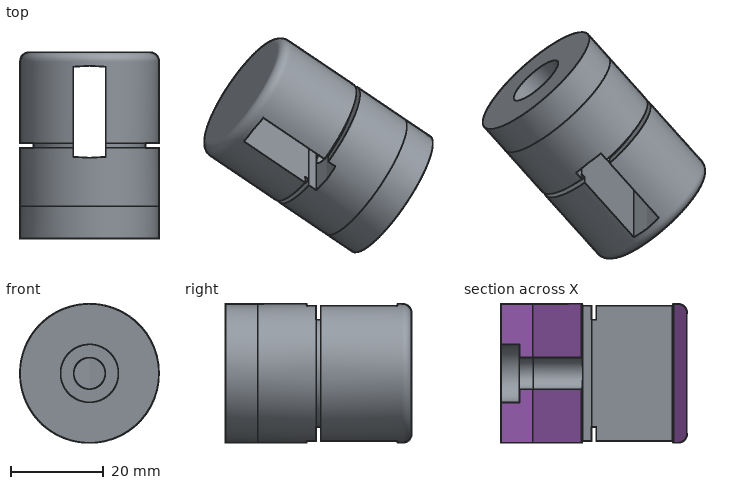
import cadquery as cq

length = 40.2
outer_diameter = 30.0
base_length = 7.0
groove_start = 19.55
groove_width = 1.0
neck_diameter = 24.2
crown_fillet = 2.0

counterbore_diameter = 12.5
counterbore_depth = 4.0
bore_diameter = 6.8

slot_width = 7.0
slot_start = 17.65
slot_end = 37.0
slot_point_height = 0.2


def cylinder(diameter, start, end):
    """Solid cylinder on the Y axis from Y = start to Y = end."""
    return cq.Workplane("XZ", origin=(0, start, 0)).circle(diameter / 2).extrude(start - end)


def through_slot():
    """Slot along Y through the whole diameter in Z, with a shallow V at each end."""
    half_width = slot_width / 2
    return (
        cq.Workplane("XY")
        .moveTo(-half_width, slot_start)
        .lineTo(0, slot_start - slot_point_height)
        .lineTo(half_width, slot_start)
        .lineTo(half_width, slot_end)
        .lineTo(0, slot_end + slot_point_height)
        .lineTo(-half_width, slot_end)
        .close()
        .extrude(outer_diameter / 2, both=True)
    )


def make_base():
    """Plain disc with a counterbored hole on its axis."""
    base = cylinder(outer_diameter, 0, base_length)
    base = base.cut(cylinder(counterbore_diameter, 0, counterbore_depth))
    return base.cut(cylinder(bore_diameter, counterbore_depth, base_length))


def make_lower_sleeve():
    """Sleeve on the base, bored up to the slot, with the near end of the slot."""
    sleeve = cylinder(outer_diameter, base_length, groove_start)
    sleeve = sleeve.cut(cylinder(bore_diameter, base_length, groove_start))
    return sleeve.cut(through_slot())


def make_upper_sleeve():
    """Slotted cap with a rounded crown, standing on a narrower neck that forms the groove."""
    groove_end = groove_start + groove_width
    cap = cylinder(outer_diameter, groove_end, length).faces(">Y").edges().fillet(crown_fillet)
    neck = cylinder(neck_diameter, groove_start, groove_end)
    return cap.union(neck).cut(through_slot())


base = make_base()
lower_sleeve = make_lower_sleeve()
upper_sleeve = make_upper_sleeve()

result = cq.Compound.makeCompound([base.val(), lower_sleeve.val(), upper_sleeve.val()])